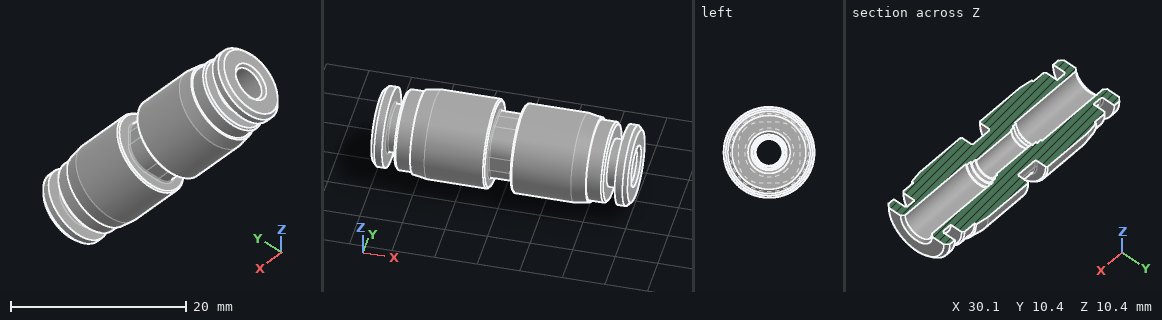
import cadquery as cq

half_length = 15.05

flange_radius = 4.7
flange_chamfer = 0.48
flange_width = 1.38
stem_radius = 2.8
stem_fillet = 0.25

ring_start = 2.77
ring_radius = flange_radius
ring_chamfer = 0.25

body_start = 4.73
taper_start_radius = 4.95
taper_end = 6.45
body_radius = 5.2
body_chamfer = 0.18

neck_length = 3.0
neck_width = 6.98
neck_flat_width = 1.93
neck_edge_radius = (neck_width - neck_flat_width) / 2
neck_end_fillet = 0.18

mouth_radius = 2.4
mouth_depth = 0.4
socket_radius = 2.05
socket_depth = 10.85
seat_radius = 1.87
seat_depth = 11.45
throat_radius = 1.65
throat_depth = 12.05
bore_radius = 1.5


def make_outer_half():
    """Revolve the collar, guide ring and body sleeve of the -X half."""
    body_depth = half_length - neck_length / 2
    profile = (
        cq.Workplane("XY")
        .moveTo(0, 0)
        .lineTo(0, flange_radius - flange_chamfer)
        .lineTo(flange_chamfer, flange_radius)
        .lineTo(flange_width, flange_radius)
        .lineTo(flange_width, stem_radius + stem_fillet)
        .radiusArc((flange_width + stem_fillet, stem_radius), -stem_fillet)
        .lineTo(ring_start, stem_radius)
        .lineTo(ring_start, ring_radius - ring_chamfer)
        .lineTo(ring_start + ring_chamfer, ring_radius)
        .lineTo(body_start, ring_radius)
        .lineTo(body_start, taper_start_radius)
        .lineTo(taper_end, body_radius)
        .lineTo(body_depth - body_chamfer, body_radius)
        .lineTo(body_depth, body_radius - body_chamfer)
        .lineTo(body_depth, 0)
        .close()
    )
    return profile.revolve(360, (0, 0, 0), (1, 0, 0)).translate((-half_length, 0, 0))


def make_socket_half():
    """Revolve the stepped hollow of the -X half."""
    profile = (
        cq.Workplane("XY")
        .moveTo(0, 0)
        .lineTo(0, mouth_radius)
        .lineTo(mouth_depth, socket_radius)
        .lineTo(socket_depth, socket_radius)
        .lineTo(socket_depth, seat_radius)
        .lineTo(seat_depth, seat_radius)
        .lineTo(seat_depth, throat_radius)
        .lineTo(throat_depth, throat_radius)
        .lineTo(throat_depth, bore_radius)
        .lineTo(half_length, bore_radius)
        .lineTo(half_length, 0)
        .close()
    )
    return profile.revolve(360, (0, 0, 0), (1, 0, 0)).translate((-half_length, 0, 0))


def make_neck():
    """Make the rounded square neck between the two sleeves."""
    return cq.Workplane("XY").box(neck_length, neck_width, neck_width).edges("|X").fillet(neck_edge_radius)


def is_neck_end_edge(edge):
    """Tell whether an edge lies where the neck outline meets a sleeve face."""
    box = edge.BoundingBox()
    on_sleeve_face = box.xlen < 0.003 and abs(abs(box.center.x) - neck_length / 2) < 0.003
    middle = edge.positionAt(0.5)
    from_axis = (middle.y ** 2 + middle.z ** 2) ** 0.5
    return on_sleeve_face and from_axis < body_radius - 2 * body_chamfer


def mirrored_pair(half):
    """Join a half with its mirror image across the YZ plane."""
    return half.union(half.mirror("YZ"))


left_outer = make_outer_half()
solid = left_outer.union(make_neck()).union(left_outer.mirror("YZ"))
neck_end_edges = [edge for edge in solid.edges().vals() if is_neck_end_edge(edge)]
solid = solid.newObject(neck_end_edges).fillet(neck_end_fillet)

result = solid.cut(mirrored_pair(make_socket_half()))